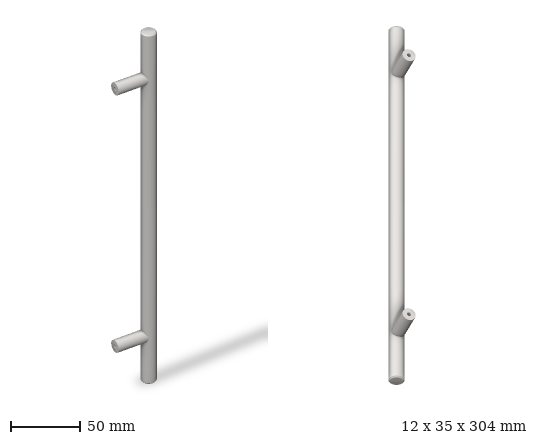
import cadquery as cq
import math

bar_length = 304.0
bar_diameter = 12.0
bar_end_chamfer = 1.0

post_diameter = 10.0
post_spacing = 224.0
overall_depth = 35.0
post_reach = overall_depth - bar_diameter / 2

screw_hole_diameter = 3.0
screw_hole_depth = 12.2
drill_point_angle = 118.0


def make_bar():
    """Solid round bar centred on the Z axis, chamfered at both ends."""
    bar = cq.Workplane("XY").circle(bar_diameter / 2).extrude(bar_length / 2, both=True)
    return bar.faces("|Z").edges().chamfer(bar_end_chamfer)


def make_screw_hole(height):
    """Drilled hole volume running along +Y from the mounting face to a conical point."""
    radius = screw_hole_diameter / 2
    point_length = radius / math.tan(math.radians(drill_point_angle / 2))
    half_profile = (
        cq.Workplane("XY", origin=(0, -post_reach, height))
        .lineTo(radius, 0)
        .lineTo(radius, screw_hole_depth)
        .lineTo(0, screw_hole_depth + point_length)
        .close()
    )
    return half_profile.revolve(360, (0, 0), (0, 1))


def make_post(height, bar):
    """Round post along -Y, coped to the bar, with a blind screw hole in its mounting face."""
    post = (
        cq.Workplane("XZ", origin=(0, 0, height))
        .circle(post_diameter / 2)
        .extrude(post_reach)
    )
    return post.cut(bar).cut(make_screw_hole(height))


bar = make_bar()
post_heights = (-post_spacing / 2, post_spacing / 2)
posts = [make_post(height, bar) for height in post_heights]

result = cq.Compound.makeCompound([bar.val(), *[post.solids().val() for post in posts]])